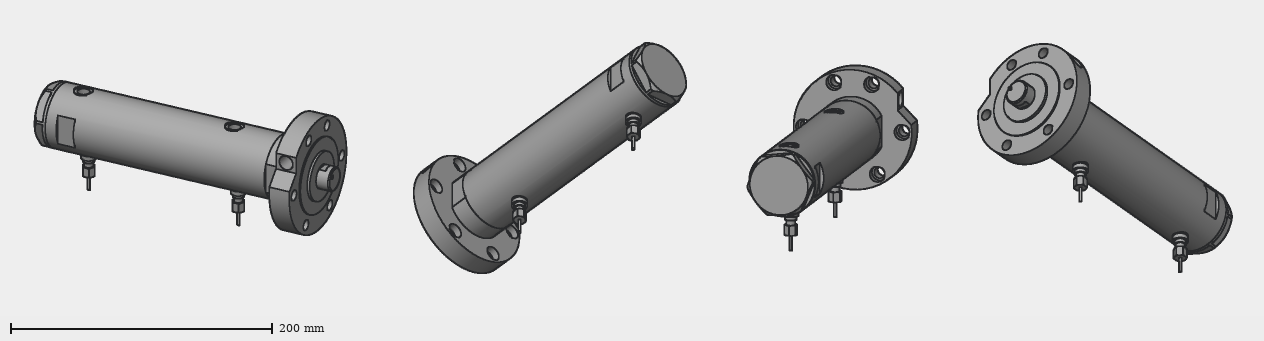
import cadquery as cq
import math

TUBE_RADIUS = 52.0 / 2
WRENCH_SIZE = 46.0

CAP_HEX_LENGTH = 8.5
CAP_END = 11.0
CAP_HEX_TURN = 7.9
CAP_PLUG_END = 25.0
CAP_NOSE_RADIUS = 12.5
CAP_NOSE_END = 44.8

BARREL_END = 200.7
BORE_RADIUS = 17.5
HEAD_BORE_START = 163.9
HEAD_BORE_RADIUS = 22.0
FLAT_START = 20.5
FLAT_END = 35.4
PORT_STATIONS = (30.5, 161.4)
PORT_RADIUS = 5.0
SPOTFACE_RADIUS = 7.5
SPOTFACE_HEIGHT = 24.7
SENSOR_STATIONS = (34.9, 164.5)
BOSS_RADIUS = 6.0
BOSS_REACH = 27.0

FLANGE_START = 216.1
FLANGE_END = 233.5
FLANGE_RADIUS = 94.0 / 2
PILOT_RADIUS = 31.0
PILOT_END = 234.8
NOTCH_SIDE = 35.5
NOTCH_FLOOR = 17.2
CROSS_HOLE_RADIUS = 11.7 / 2
CROSS_HOLE_HEIGHT = 24.2
BOLT_CIRCLE_RADIUS = 39.0
BOLT_ANGLES = (0, 67.5, 112.5, 180, 240, 300)
BOLT_RADIUS = 4.2
COUNTERBORE_RADIUS = 6.0
COUNTERBORE_DEPTH = 6.5

GLAND_RADIUS = 20.0
GLAND_START = HEAD_BORE_START
GLAND_END = 237.0

ROD_RADIUS = 9.7
ROD_END = 248.3
ROD_CHAMFER = 1.0
ROD_FLAT_HEIGHT = 8.2
ROD_FLAT_END = 242.8
LUG_RADIUS = 1.5
LUG_Y = -5.5
LUG_Z = 4.5
LUG_END = 249.0

SENSOR_FLANGE_END = 30.6
SENSOR_BODY_RADIUS = 4.5
SENSOR_BODY_END = 33.5
SENSOR_NECK_RADIUS = 3.5
NUT_START = 37.5
NUT_END = 45.5
NUT_SIZE = 9.2
NUT_RADIUS = 5.2
NUT_CHAMFER = 0.5
CABLE_RADIUS = 1.12
CABLE_END = 58.3
CABLE_SLANT = 1.0


def cylinder_along_x(radius, start, end, y=0.0, z=0.0):
    return cq.Workplane("YZ", origin=(start, y, z)).circle(radius).extrude(end - start)


def cylinder_down(radius, station, start, end):
    return cq.Workplane("XY", origin=(station, 0, -start)).circle(radius).extrude(start - end)


def cut_flats(body, radius, start, end, size, across):
    """Cut two parallel flats, facing along the axis named by across, between two stations."""
    wide = 2 * radius
    slab_size = (size, wide) if across == "Y" else (wide, size)
    slab = cq.Workplane("YZ", origin=(start, 0, 0)).rect(*slab_size).extrude(end - start)
    return body.cut(cylinder_along_x(radius, start, end).cut(slab))


def make_cap():
    corner_diameter = WRENCH_SIZE / math.cos(math.pi / 6)
    hexagon = cq.Workplane("YZ").polygon(6, corner_diameter).extrude(CAP_HEX_LENGTH)
    hexagon = hexagon.rotate((0, 0, 0), (1, 0, 0), -CAP_HEX_TURN)
    rounding = cylinder_along_x(TUBE_RADIUS, 0, CAP_HEX_LENGTH)
    rounding = rounding.faces("<X").chamfer(TUBE_RADIUS - WRENCH_SIZE / 2)
    collar = cylinder_along_x(TUBE_RADIUS, CAP_HEX_LENGTH, CAP_END)
    plug = cylinder_along_x(BORE_RADIUS, CAP_END, CAP_PLUG_END)
    nose = cylinder_along_x(CAP_NOSE_RADIUS, CAP_PLUG_END, CAP_NOSE_END)
    return hexagon.intersect(rounding).union(collar).union(plug).union(nose)


def make_barrel():
    barrel = cylinder_along_x(TUBE_RADIUS, CAP_END, BARREL_END)
    barrel = cut_flats(barrel, TUBE_RADIUS, FLAT_START, FLAT_END, WRENCH_SIZE, "Y")
    for station in SENSOR_STATIONS:
        barrel = barrel.union(cylinder_down(BOSS_RADIUS, station, BORE_RADIUS, BOSS_REACH))
    barrel = barrel.cut(cylinder_along_x(BORE_RADIUS, CAP_END, BARREL_END))
    barrel = barrel.cut(cylinder_along_x(HEAD_BORE_RADIUS, HEAD_BORE_START, BARREL_END))
    for station in PORT_STATIONS:
        barrel = barrel.cut(cylinder_down(SPOTFACE_RADIUS, station, -TUBE_RADIUS, -SPOTFACE_HEIGHT))
        barrel = barrel.cut(cylinder_down(PORT_RADIUS, station, -TUBE_RADIUS, 0))
    return barrel


def cut_notch(flange):
    """Cut the -Y side of the flange with an upright side and a 45 degree slope below it."""
    reach = 2 * FLANGE_RADIUS
    notch = (
        cq.Workplane("YZ", origin=(FLANGE_START, 0, 0))
        .moveTo(-NOTCH_SIDE, reach)
        .lineTo(-NOTCH_SIDE, NOTCH_FLOOR)
        .lineTo(-reach, NOTCH_FLOOR - (reach - NOTCH_SIDE))
        .lineTo(-reach, reach)
        .close()
        .extrude(FLANGE_END - FLANGE_START)
    )
    return flange.cut(notch)


def cut_bolt_holes(flange):
    for angle in BOLT_ANGLES:
        y = BOLT_CIRCLE_RADIUS * math.cos(math.radians(angle))
        z = BOLT_CIRCLE_RADIUS * math.sin(math.radians(angle))
        counterbore_end = FLANGE_START + COUNTERBORE_DEPTH
        flange = flange.cut(cylinder_along_x(BOLT_RADIUS, FLANGE_START, FLANGE_END, y, z))
        flange = flange.cut(cylinder_along_x(COUNTERBORE_RADIUS, FLANGE_START, counterbore_end, y, z))
    return flange


def make_head():
    spigot = cylinder_along_x(HEAD_BORE_RADIUS, HEAD_BORE_START, BARREL_END)
    neck = cylinder_along_x(TUBE_RADIUS, BARREL_END, FLANGE_START)
    neck = cut_flats(neck, TUBE_RADIUS, BARREL_END, FLANGE_START, WRENCH_SIZE, "Y")
    flange = cut_notch(cylinder_along_x(FLANGE_RADIUS, FLANGE_START, FLANGE_END))
    flange = cut_bolt_holes(flange)
    cross_hole = (
        cq.Workplane("XZ", origin=((FLANGE_START + FLANGE_END) / 2, 0, CROSS_HOLE_HEIGHT))
        .circle(CROSS_HOLE_RADIUS)
        .extrude(FLANGE_RADIUS, both=True)
    )
    pilot = cylinder_along_x(PILOT_RADIUS, FLANGE_END, PILOT_END)
    head = spigot.union(neck).union(flange.cut(cross_hole)).union(pilot)
    return head.cut(cylinder_along_x(GLAND_RADIUS, GLAND_START, PILOT_END))


def make_gland():
    gland = cylinder_along_x(GLAND_RADIUS, GLAND_START, GLAND_END)
    return gland.cut(cylinder_along_x(ROD_RADIUS, GLAND_START, GLAND_END))


def make_rod():
    rod = cylinder_along_x(ROD_RADIUS, CAP_NOSE_END, ROD_END).faces(">X").chamfer(ROD_CHAMFER)
    rod = cut_flats(rod, ROD_RADIUS, GLAND_END, ROD_FLAT_END, 2 * ROD_FLAT_HEIGHT, "Z")
    lug = cylinder_along_x(LUG_RADIUS, ROD_FLAT_END, LUG_END, LUG_Y, LUG_Z)
    return rod.union(lug)


def make_sensor(station):
    flange = cylinder_down(BOSS_RADIUS, station, BOSS_REACH, SENSOR_FLANGE_END)
    body = cylinder_down(SENSOR_BODY_RADIUS, station, SENSOR_FLANGE_END, SENSOR_BODY_END)
    neck = cylinder_down(SENSOR_NECK_RADIUS, station, SENSOR_BODY_END, NUT_START)
    nut = (
        cq.Workplane("XY", origin=(station, 0, -NUT_END))
        .polygon(6, NUT_SIZE / math.cos(math.pi / 6))
        .extrude(NUT_END - NUT_START)
    )
    nut_blank = cylinder_down(NUT_RADIUS, station, NUT_START, NUT_END)
    nut = nut.intersect(nut_blank.faces("<Z or >Z").chamfer(NUT_CHAMFER))
    cable = cylinder_down(CABLE_RADIUS, station, NUT_END, CABLE_END)
    slanted_end = (
        cq.Workplane("XZ", origin=(station, 0, -CABLE_END))
        .moveTo(-CABLE_RADIUS, 0)
        .lineTo(CABLE_RADIUS, 0)
        .lineTo(-CABLE_RADIUS, CABLE_SLANT)
        .close()
        .extrude(CABLE_RADIUS, both=True)
    )
    return flange.union(body).union(neck).union(nut).union(cable.cut(slanted_end))


cap = make_cap()
barrel = make_barrel()
head = make_head()
gland = make_gland()
rod = make_rod()
sensors = [make_sensor(station) for station in SENSOR_STATIONS]

result = cq.Compound.makeCompound(
    [cap.val(), barrel.val(), head.val(), gland.val(), rod.val()]
    + [sensor.val() for sensor in sensors]
)